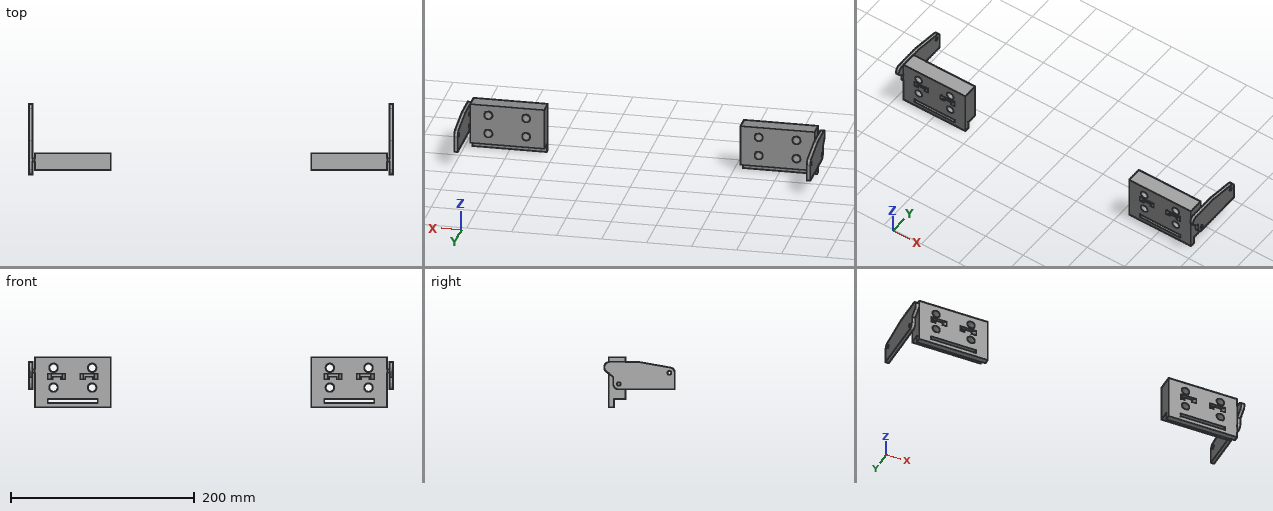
import cadquery as cq
import math

overall_width = 396.0
end_x = overall_width / 2

block_width = 82.5
block_height = 54.5
block_depth = 18.5
lip_depth = 6.0
lip_height = 9.0

arm_thickness = 4.0
arm_gap = 2.5
arm_height = 30.0
arm_drop = 5.0
arm_front_y = -5.0
arm_length = 77.0
arm_back_y = arm_front_y + arm_length
arm_notch_y = 5.0
arm_knee_y = 32.5
arm_slope = math.radians(10)
corner_radius = 6.0
arm_hole_diameter = 4.0
notch_drop = 16.5
pin_diameter = 4.0
pin_y = 11.0
pin_drop = 15.0

hole_diameter = 9.0
hole_spacing_x = 42.0
hole_spacing_z = 21.5
upper_hole_drop = 11.5
slot_length = 54.0
slot_height = 4.0
slot_bottom_z = lip_height - slot_height

pocket_width = 19.0
pocket_height = 6.0
pocket_depth = 3.5
pocket_floor_width = pocket_width - 2 * pocket_depth
pocket_drop = 21.0
tab_width = 8.5
tab_height = 3.0

arm_inner_x = -end_x + arm_thickness
block_left_x = arm_inner_x + arm_gap
block_center_x = block_left_x + block_width / 2
pocket_offset = (slot_length - pocket_width) / 2


def front_box(width, depth, height, center_x, bottom_z):
    """Box that goes back from the front face, centred on center_x."""
    box = cq.Workplane("XY").box(width, depth, height, centered=(True, False, False))
    return box.translate((center_x, 0, bottom_z))


def block_body():
    profile = [
        (0, 0),
        (lip_depth, 0),
        (lip_depth, lip_height),
        (block_depth, lip_height),
        (block_depth, block_height),
        (0, block_height),
    ]
    return cq.Workplane("YZ", origin=(block_left_x, 0, 0)).polyline(profile).close().extrude(block_width)


def bolt_holes():
    upper_z = block_height - upper_hole_drop
    points = [
        (block_center_x + side * hole_spacing_x / 2, z)
        for side in (-1, 1)
        for z in (upper_z, upper_z - hole_spacing_z)
    ]
    return cq.Workplane("XZ").pushPoints(points).circle(hole_diameter / 2).extrude(-block_depth)


def hook_pocket(center_x):
    bottom_z = block_height - pocket_drop - pocket_height / 2
    outline = [
        (center_x - pocket_width / 2, 0),
        (center_x - pocket_floor_width / 2, pocket_depth),
        (center_x + pocket_floor_width / 2, pocket_depth),
        (center_x + pocket_width / 2, 0),
    ]
    recess = cq.Workplane("XY", origin=(0, 0, bottom_z)).polyline(outline).close().extrude(pocket_height)
    return recess.cut(front_box(tab_width, pocket_depth, tab_height, center_x, bottom_z))


def arm_plate():
    top_z = block_height - arm_drop
    bottom_z = top_z - arm_height
    r = corner_radius

    nose_y = arm_front_y + r
    nose_z = top_z - r
    notch_z = top_z - notch_drop
    reach = math.hypot(nose_y - arm_notch_y, nose_z - notch_z)
    underside = math.atan2(nose_z - notch_z, arm_notch_y - nose_y) - math.asin(r / reach)
    nose_end = (nose_y - r * math.sin(underside), nose_z - r * math.cos(underside))

    back_y = arm_back_y - r
    slope_end_y = back_y + r * math.sin(arm_slope)
    slope_end_z = top_z - (slope_end_y - arm_knee_y) * math.tan(arm_slope)
    back_z = slope_end_z - r * math.cos(arm_slope)
    mid_angle = (math.pi / 2 - arm_slope) / 2
    back_arc_middle = (back_y + r * math.cos(mid_angle), back_z + r * math.sin(mid_angle))

    heel_y = arm_notch_y + r
    heel_z = bottom_z + r
    diagonal = r * math.sqrt(0.5)

    plate = (
        cq.Workplane("YZ", origin=(-end_x, 0, 0))
        .moveTo(nose_y, top_z)
        .lineTo(arm_knee_y, top_z)
        .lineTo(slope_end_y, slope_end_z)
        .threePointArc(back_arc_middle, (arm_back_y, back_z))
        .lineTo(arm_back_y, bottom_z)
        .lineTo(heel_y, bottom_z)
        .threePointArc((heel_y - diagonal, heel_z - diagonal), (arm_notch_y, heel_z))
        .lineTo(arm_notch_y, notch_z)
        .lineTo(*nose_end)
        .threePointArc((arm_front_y, nose_z), (nose_y, top_z))
        .close()
        .extrude(arm_thickness)
    )
    holes = (
        cq.Workplane("YZ", origin=(-end_x, 0, 0))
        .pushPoints([(back_y, back_z), (heel_y, heel_z)])
        .circle(arm_hole_diameter / 2)
        .extrude(arm_thickness)
    )
    return plate.cut(holes)


def pin():
    return (
        cq.Workplane("YZ", origin=(arm_inner_x, pin_y, block_height - pin_drop))
        .circle(pin_diameter / 2)
        .extrude(arm_gap)
    )


def bracket():
    body = block_body().cut(bolt_holes())
    body = body.cut(front_box(slot_length, lip_depth, slot_height, block_center_x, slot_bottom_z))
    for side in (-1, 1):
        body = body.cut(hook_pocket(block_center_x + side * pocket_offset))
    return body.union(pin()).union(arm_plate())


left_bracket = bracket()
right_bracket = left_bracket.mirror("YZ")

result = cq.Compound.makeCompound([left_bracket.val(), right_bracket.val()])